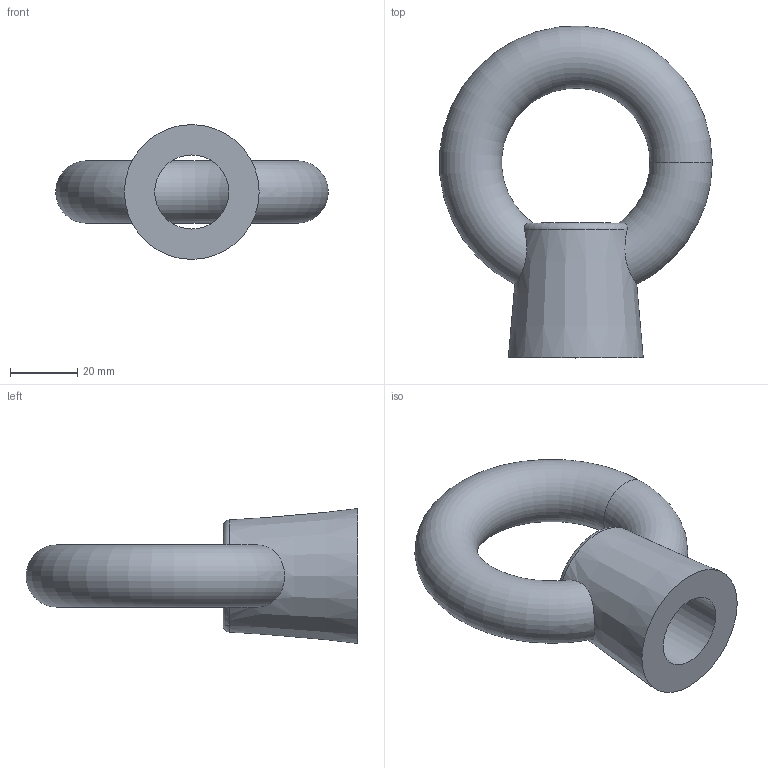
import cadquery as cq
import math

RING_INNER_DIAMETER = 44.0
BAR_DIAMETER = 18.5
BAR_RADIUS = BAR_DIAMETER / 2
RING_RADIUS = RING_INNER_DIAMETER / 2 + BAR_RADIUS

SOCKET_LENGTH = 40.0
SOCKET_BASE_RADIUS = 20.0
SOCKET_TAPER_DEGREES = 5.0
SOCKET_TOP_RADIUS = SOCKET_BASE_RADIUS - SOCKET_LENGTH * math.tan(math.radians(SOCKET_TAPER_DEGREES))
TOP_FILLET_RADIUS = 2.0
BORE_DIAMETER = 22.0
BASE_TO_RING_CENTER = 58.0

SOCKET_BASE_Y = -BASE_TO_RING_CENTER
SOCKET_TOP_Y = SOCKET_BASE_Y + SOCKET_LENGTH


def make_ring():
    """Torus centred on the origin with its axis along Z."""
    bar_section = cq.Workplane("XZ").center(RING_RADIUS, 0).circle(BAR_RADIUS)
    return bar_section.revolve(axisStart=(-RING_RADIUS, 0), axisEnd=(-RING_RADIUS, 1))


def make_socket_body():
    """Solid cone along Y, narrowing toward the ring, with its top rim rounded."""
    profile = (
        cq.Workplane("XY")
        .moveTo(0, SOCKET_BASE_Y)
        .lineTo(SOCKET_BASE_RADIUS, SOCKET_BASE_Y)
        .lineTo(SOCKET_TOP_RADIUS, SOCKET_TOP_Y)
        .lineTo(0, SOCKET_TOP_Y)
        .close()
    )
    cone = profile.revolve(axisStart=(0, 0), axisEnd=(0, 1))
    return cone.faces(">Y").edges().fillet(TOP_FILLET_RADIUS)


def make_bore():
    """Cylinder that clears the full socket length and the bar inside it."""
    base_plane = cq.Plane(origin=(0, SOCKET_BASE_Y, 0), xDir=(1, 0, 0), normal=(0, 1, 0))
    return cq.Workplane(base_plane).circle(BORE_DIAMETER / 2).extrude(SOCKET_LENGTH)


result = make_ring().union(make_socket_body()).cut(make_bore())